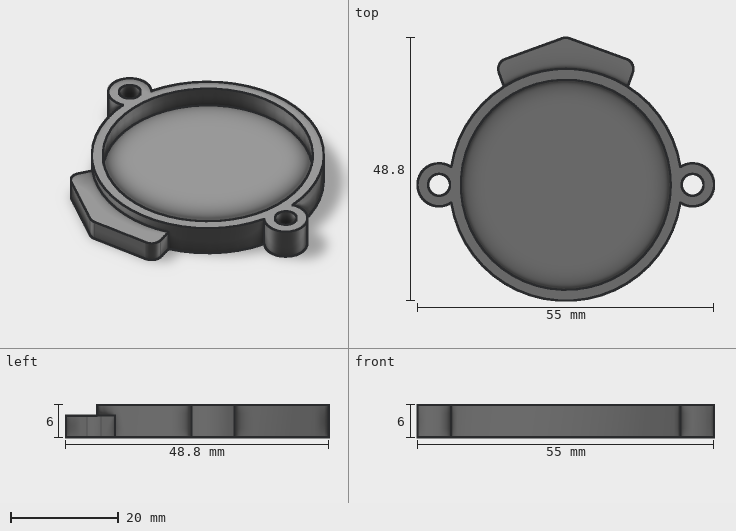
import cadquery as cq
import math

total_length = 55
total_width = 48.75
height = 6.0

floor_thickness = 2.0
ear_radius = 4.0
ear_hole_diameter = 4.0
ear_offset = total_length / 2 - ear_radius
dish_outer_radius = 21.5
dish_inner_radius = ear_offset - ear_radius

pad_height = 4.0
corner_radius = 2.0
arm_slope = math.radians(20)
apex_y = total_width - dish_outer_radius - corner_radius
arm_end_x = 10.55
arm_end_y = apex_y - arm_end_x * math.tan(arm_slope)
flank_length = 4.4


def make_dish():
    body = cq.Workplane("XY").circle(dish_outer_radius).extrude(height)
    for side in (-1, 1):
        ear = cq.Workplane("XY").center(side * ear_offset, 0).circle(ear_radius).extrude(height)
        body = body.union(ear)
    pocket = (
        cq.Workplane("XY")
        .workplane(offset=floor_thickness)
        .circle(dish_inner_radius)
        .extrude(height - floor_thickness)
    )
    holes = (
        cq.Workplane("XY")
        .pushPoints([(-ear_offset, 0), (ear_offset, 0)])
        .circle(ear_hole_diameter / 2)
        .extrude(height)
    )
    return body.cut(pocket).cut(holes)


def on_corner(center_x, center_y, angle):
    """Point on a rounded corner, at an angle measured from +Y toward +X."""
    return (
        center_x + corner_radius * math.sin(angle),
        center_y + corner_radius * math.cos(angle),
    )


def mirrored(point):
    return (-point[0], point[1])


def make_chevron():
    flank_angle = arm_slope + math.pi / 2
    apex_right = on_corner(0, apex_y, arm_slope)
    apex_top = on_corner(0, apex_y, 0)
    end_start = on_corner(arm_end_x, arm_end_y, arm_slope)
    end_middle = on_corner(arm_end_x, arm_end_y, (arm_slope + flank_angle) / 2)
    end_finish = on_corner(arm_end_x, arm_end_y, flank_angle)
    flank_foot = (
        end_finish[0] - flank_length * math.sin(arm_slope),
        end_finish[1] - flank_length * math.cos(arm_slope),
    )
    pad = (
        cq.Workplane("XY")
        .moveTo(*flank_foot)
        .lineTo(*end_finish)
        .threePointArc(end_middle, end_start)
        .lineTo(*apex_right)
        .threePointArc(apex_top, mirrored(apex_right))
        .lineTo(*mirrored(end_start))
        .threePointArc(mirrored(end_middle), mirrored(end_finish))
        .lineTo(*mirrored(flank_foot))
        .close()
        .extrude(pad_height)
    )
    cavity = cq.Workplane("XY").circle(dish_inner_radius).extrude(height)
    return pad.cut(cavity)


result = make_dish().union(make_chevron())